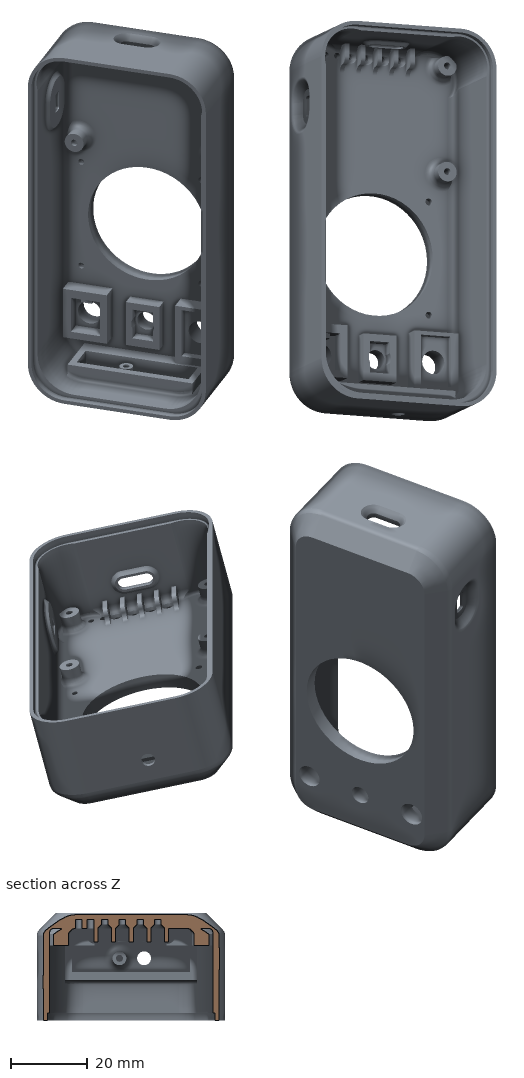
import cadquery as cq
import math

WIDTH, DEPTH, HEIGHT = 49.0, 28.0, 100.0
CORNER_RADIUS = 10.0
BACK_CHAMFER = 5.0
CHAMFER_BLEND = 2.0
WALL = 2.0
FLOOR = 4.0
FLOOR_FILLET = 2.0
LIP_STEP = 1.0
LIP_DEPTH = 2.0
FLOOR_Y = DEPTH - FLOOR
TOP_Z, BOTTOM_Z = HEIGHT / 2, -HEIGHT / 2
RIGHT_X, LEFT_X = WIDTH / 2, -WIDTH / 2

SINK = 0.5
PICK = 0.1

CLEARANCE_INSET = 9.5
CLEARANCE_RADIUS = 7.8
CLEARANCE_FILLET = 0.9

FAN_RADIUS = 16.2
FAN_Z = -6.6
LEFT_PILOT_X, LEFT_PILOT_RADIUS = -18.1, 0.8
RIGHT_PILOT_X, RIGHT_PILOT_RADIUS = 15.1, 0.9
PILOT_PITCH = 30.0
PILOT_DEPTH = 2.0

POST_X = 18.5
POST_TOP_INSET = 6.1
POST_PITCH = 28.0
POST_RADIUS = 2.6
POST_HOLE_RADIUS = 0.9
POST_FLARE = 1.8
POST_HEIGHT = 4.5

HOLDER_HEIGHT = 4.5
HOLDER_BOTTOM = BOTTOM_Z + 9.2
HOLDER_TOP = BOTTOM_Z + 23.2
HOLDER_HOLE_Z = BOTTOM_Z + 15.5
LEFT_POCKET_TOP = BOTTOM_Z + 20.9
LEFT_BLOCK = (-21.6, -9.5, HOLDER_BOTTOM, HOLDER_TOP)
LEFT_POCKET = (-19.4, -11.4, BOTTOM_Z + 11.1, LEFT_POCKET_TOP)
LEFT_HOLE_X, LEFT_HOLE_RADIUS = -15.6, 3.2
LOW_BLOCK = (-4.6, 4.6, HOLDER_BOTTOM, BOTTOM_Z + 21.6)
LOW_POCKET = (-2.8, 2.8, BOTTOM_Z + 11.4, BOTTOM_Z + 19.7)
LOW_HOLE_X, LOW_HOLE_RADIUS = 0.0, 2.5
RIGHT_BLOCK = (9.3, 21.6, BOTTOM_Z + 6.7, HOLDER_TOP)
RIGHT_POCKET = (11.1, 19.5, BOTTOM_Z + 8.9, BOTTOM_Z + 22.2)
RIGHT_HOLE_X, RIGHT_HOLE_RADIUS = 15.4, 3.1
LOW_HOLDER_HEIGHT = 3.5
LOW_HOLDER_BORE_RADIUS = 3.1
DEEP_POCKET_SKIN = 0.5
SHALLOW_POCKET = 2.1
TAB_X, TAB_WIDTH, TAB_LENGTH, TAB_DROP = -15.4, 3.0, 1.3, 1.0

TRAY_LENGTH = 34.4
TRAY_FRONT_Y = 10.5
TRAY_TOP = BOTTOM_Z + 6.1
TRAY_FILLET = 1.0
TROUGH_LENGTH = 30.8
TROUGH_WIDTH = 7.2
TROUGH_Y = 16.2
TROUGH_FLOOR = BOTTOM_Z + 1.0
TROUGH_POST_X = -3.0
TROUGH_POST_RADIUS = 1.8
TROUGH_POST_HOLE_RADIUS = 0.9
TROUGH_POST_FLARE = 2.0
TROUGH_POST_HEIGHT = 4.3
DRAIN_X = 3.4
DRAIN_RADIUS = 1.8

THICKENING = 1.0
TAPER = 45.0
PORT_STRAIGHT = 6.0
PORT_NECK_RADIUS = 1.7
PORT_TAPER_DEPTH = 1.6
PORT_BUMP_RADIUS = 3.4
BUTTON_Y, BUTTON_Z = 14.8, TOP_Z - 20.5
BUTTON_STRAIGHT_Y, BUTTON_STRAIGHT_Z = 1.2, 3.2
BUTTON_FLOOR_RADIUS = 2.9
BUTTON_MOUTH_RADIUS = 5.4
BUTTON_DEPTH = 2.1
BUTTON_RIM_FILLET = 1.1
BUTTON_BUMP_RADIUS = 6.2
BUTTON_SLOT_Y, BUTTON_SLOT_Z, BUTTON_SLOT_RADIUS = 3.0, 5.3, 0.6

RIB_PITCH = 4.6
RIB_COUNT = 5
RIB_WIDTH = 1.2
RIB_LENGTH = 9.0
RIB_CURVE = 1.8
PIT_RADIUS = 0.8
PIT_MOUTH_RADIUS = 1.8
PIT_Z = TOP_Z - 4.7
PIT_SKIN = 1.0
PLAIN_PIT_XS = (-13.7, -10.6)


def box(x0, x1, y0, y1, z0, z1):
    return cq.Workplane("XY").box(x1 - x0, y1 - y0, z1 - z0, centered=False).translate((x0, y0, z0))


def rounded_block(inset, y0, y1, radius):
    """Case outline moved inwards by inset, running from y0 back to y1."""
    block = box(LEFT_X + inset, RIGHT_X - inset, y0, y1, BOTTOM_Z + inset, TOP_Z - inset)
    return block.edges("|Y").fillet(radius)


def y_cylinder(radius, x, z, y0, y1):
    return cq.Workplane("XZ", origin=(x, y0, z)).circle(radius).extrude(y0 - y1)


def z_cylinder(radius, x, y, z0, z1):
    return cq.Workplane("XY", origin=(x, y, z0)).circle(radius).extrude(z1 - z0)


def flared_post(plane, radius, height, flare):
    """Post along the plane's local Y axis, with a concave flare around its foot."""
    return (
        cq.Workplane(plane)
        .moveTo(0, -SINK)
        .lineTo(radius + flare, -SINK)
        .lineTo(radius + flare, 0)
        .radiusArc((radius, flare), flare)
        .lineTo(radius, height)
        .lineTo(0, height)
        .close()
        .revolve(360, (0, 0, 0), (0, 1, 0))
    )


def rounded_prism(plane, straight_u, straight_v, radius, depth, taper=0.0):
    """Rounded rectangle, given by its straight stretches, extruded along the plane normal."""
    outline = cq.Workplane(plane)
    if straight_v == 0:
        outline = outline.slot2D(straight_u + 2 * radius, 2 * radius)
    else:
        rectangle = cq.Sketch().rect(straight_u + 2 * radius, straight_v + 2 * radius)
        outline = outline.placeSketch(rectangle.vertices().fillet(radius))
    return outline.extrude(depth, taper=taper)


def outer_body():
    shoulder_y = DEPTH - BACK_CHAMFER
    shoulder = cq.selectors.BoxSelector(
        (-WIDTH, shoulder_y - PICK, -HEIGHT), (WIDTH, shoulder_y + PICK, HEIGHT))
    body = rounded_block(0, 0, DEPTH, CORNER_RADIUS).faces(">Y").chamfer(BACK_CHAMFER)
    return body.edges(shoulder).fillet(CHAMFER_BLEND)


def cavity():
    return rounded_block(WALL, 0, FLOOR_Y, CORNER_RADIUS).faces(">Y").edges().fillet(FLOOR_FILLET)


def corner_clearance(side):
    x = side * (RIGHT_X - CLEARANCE_INSET)
    bore = y_cylinder(CLEARANCE_RADIUS, x, TOP_Z - CLEARANCE_INSET, 0, FLOOR_Y)
    return bore.faces(">Y").edges().fillet(CLEARANCE_FILLET)


def fill_limit():
    """Cavity grown by SINK: bodies trimmed to it fuse with the shell and stay inside it."""
    block = rounded_block(WALL - SINK, 0, FLOOR_Y + SINK, CORNER_RADIUS)
    return block.faces(">Y").chamfer(FLOOR_FILLET)


def add_tray(shell):
    """Block on the bottom wall, with a fillet along the foot of its front face."""
    end_x = TRAY_LENGTH / 2
    tray = box(-end_x, end_x, TRAY_FRONT_Y, DEPTH, BOTTOM_Z, TRAY_TOP).intersect(fill_limit())
    foot = cq.selectors.BoxSelector(
        (LEFT_X, TRAY_FRONT_Y - PICK, BOTTOM_Z), (RIGHT_X, TRAY_FRONT_Y + PICK, BOTTOM_Z + 2 * WALL))
    return shell.union(tray).edges(foot).fillet(TRAY_FILLET)


def add_trough(shell):
    y0, y1 = TROUGH_Y - TROUGH_WIDTH / 2, TROUGH_Y + TROUGH_WIDTH / 2
    trough = box(-TROUGH_LENGTH / 2, TROUGH_LENGTH / 2, y0, y1, TROUGH_FLOOR, TRAY_TOP)
    post = flared_post("XZ", TROUGH_POST_RADIUS, TROUGH_POST_HEIGHT, TROUGH_POST_FLARE)
    post = post.translate((TROUGH_POST_X, TROUGH_Y, TROUGH_FLOOR))
    post = post.intersect(box(LEFT_X, RIGHT_X, y0, y1, BOTTOM_Z, TRAY_TOP))
    post_top = TROUGH_FLOOR + TROUGH_POST_HEIGHT
    bore = z_cylinder(TROUGH_POST_HOLE_RADIUS, TROUGH_POST_X, TROUGH_Y, TROUGH_FLOOR, post_top)
    drain = z_cylinder(DRAIN_RADIUS, DRAIN_X, TROUGH_Y, BOTTOM_Z, TRAY_TOP)
    return shell.cut(trough).union(post).cut(bore).cut(drain)


def add_screw_posts(shell):
    plane = cq.Plane((0, 0, 0), xDir=(1, 0, 0), normal=(0, 0, -1))
    post = flared_post(plane, POST_RADIUS, POST_HEIGHT, POST_FLARE)
    upper_z = TOP_Z - POST_TOP_INSET
    for x in (-POST_X, POST_X):
        for z in (upper_z, upper_z - POST_PITCH):
            bore = y_cylinder(POST_HOLE_RADIUS, x, z, FLOOR_Y - POST_HEIGHT, FLOOR_Y)
            shell = shell.union(post.translate((x, FLOOR_Y, z)).intersect(fill_limit())).cut(bore)
    return shell


def cut_fan(shell):
    shell = shell.cut(y_cylinder(FAN_RADIUS, 0, FAN_Z, 0, DEPTH))
    pilots = ((LEFT_PILOT_X, LEFT_PILOT_RADIUS), (RIGHT_PILOT_X, RIGHT_PILOT_RADIUS))
    for x, radius in pilots:
        for z in (FAN_Z - PILOT_PITCH / 2, FAN_Z + PILOT_PITCH / 2):
            shell = shell.cut(y_cylinder(radius, x, z, FLOOR_Y, FLOOR_Y + PILOT_DEPTH))
    return shell


def add_holder(shell, block, pocket, height, pocket_end_y, hole_x, hole_radius):
    """Block on the floor with a pocket and a through hole."""
    front_y = FLOOR_Y - height
    x0, x1, z0, z1 = block
    body = box(x0, x1, front_y, FLOOR_Y + SINK, z0, z1).intersect(fill_limit())
    x0, x1, z0, z1 = pocket
    recess = box(x0, x1, front_y, pocket_end_y, z0, z1)
    hole = y_cylinder(hole_radius, hole_x, HOLDER_HOLE_Z, front_y, DEPTH)
    return shell.union(body).cut(recess).cut(hole)


def add_holders(shell):
    front_y = FLOOR_Y - HOLDER_HEIGHT
    deep_y = FLOOR_Y - DEEP_POCKET_SKIN

    shell = add_holder(shell, LEFT_BLOCK, LEFT_POCKET, HOLDER_HEIGHT, deep_y,
                       LEFT_HOLE_X, LEFT_HOLE_RADIUS)
    tab = box(TAB_X - TAB_WIDTH / 2, TAB_X + TAB_WIDTH / 2, front_y + TAB_DROP, FLOOR_Y,
              LEFT_POCKET_TOP - TAB_LENGTH, LEFT_POCKET_TOP + SINK)
    shell = shell.union(tab)

    shell = add_holder(shell, LOW_BLOCK, LOW_POCKET, LOW_HOLDER_HEIGHT, deep_y,
                       LOW_HOLE_X, LOW_HOLE_RADIUS)
    low_front_y = FLOOR_Y - LOW_HOLDER_HEIGHT
    shell = shell.cut(y_cylinder(LOW_HOLDER_BORE_RADIUS, LOW_HOLE_X, HOLDER_HOLE_Z, low_front_y, deep_y))

    return add_holder(shell, RIGHT_BLOCK, RIGHT_POCKET, HOLDER_HEIGHT, front_y + SHALLOW_POCKET,
                      RIGHT_HOLE_X, RIGHT_HOLE_RADIUS)


def rib():
    """Rib hanging from the top wall; its lower end runs out to the floor in an S-curve."""
    face_y = FLOOR_Y - 2 * RIB_CURVE
    root_z, tip_z = TOP_Z - WALL + SINK, TOP_Z - RIB_LENGTH
    return (
        cq.Workplane("YZ")
        .moveTo(FLOOR_Y - FLOOR_FILLET, root_z)
        .lineTo(face_y, root_z)
        .lineTo(face_y, tip_z + 2 * RIB_CURVE)
        .radiusArc((face_y + RIB_CURVE, tip_z + RIB_CURVE), -RIB_CURVE)
        .radiusArc((FLOOR_Y, tip_z), RIB_CURVE)
        .lineTo(FLOOR_Y + SINK, tip_z)
        .lineTo(FLOOR_Y + SINK, TOP_Z - FLOOR)
        .close()
        .extrude(RIB_WIDTH / 2, both=True)
    )


def add_ribs_and_pits(shell):
    rib_xs = [RIB_PITCH * (i - (RIB_COUNT - 1) / 2) for i in range(RIB_COUNT)]
    gap_xs = [x + RIB_PITCH / 2 for x in rib_xs[:-1]]

    skin_chamfer = BACK_CHAMFER - (2 - math.sqrt(2)) * PIT_SKIN
    limit = rounded_block(PIT_SKIN, 0, DEPTH - PIT_SKIN, CORNER_RADIUS - PIT_SKIN)
    limit = limit.faces(">Y").chamfer(skin_chamfer)
    for x in (*PLAIN_PIT_XS, *gap_xs):
        pit = y_cylinder(PIT_RADIUS, x, PIT_Z, FLOOR_Y - FLOOR_FILLET, DEPTH)
        shell = shell.cut(pit.intersect(limit))
    for x in gap_xs:
        mouth = cq.Solid.makeCone(PIT_MOUTH_RADIUS, PIT_RADIUS, PIT_MOUTH_RADIUS - PIT_RADIUS,
                                  cq.Vector(x, FLOOR_Y, PIT_Z), cq.Vector(0, 1, 0))
        shell = shell.cut(cq.Workplane(mouth))
    for x in rib_xs:
        shell = shell.union(rib().translate((x, 0, 0)))
    return shell


def add_port(shell):
    """Stadium opening in the top wall, widened outwards by a taper."""
    outside = cq.Plane((0, TROUGH_Y, TOP_Z), xDir=(1, 0, 0), normal=(0, 0, -1))
    embedded = cq.Plane((0, TROUGH_Y, TOP_Z - WALL + SINK), xDir=(1, 0, 0), normal=(0, 0, -1))
    bump = rounded_prism(embedded, PORT_STRAIGHT, 0, PORT_BUMP_RADIUS + SINK, THICKENING + SINK, TAPER)
    mouth = rounded_prism(outside, PORT_STRAIGHT, 0, PORT_NECK_RADIUS + PORT_TAPER_DEPTH,
                          PORT_TAPER_DEPTH, TAPER)
    neck = rounded_prism(outside, PORT_STRAIGHT, 0, PORT_NECK_RADIUS, WALL + THICKENING)
    return shell.union(bump).cut(mouth).cut(neck)


def add_button(shell):
    """Dished recess in the left wall with a slot through its floor."""
    straights = (BUTTON_STRAIGHT_Y, BUTTON_STRAIGHT_Z)
    outside = cq.Plane((LEFT_X, BUTTON_Y, BUTTON_Z), xDir=(0, 1, 0), normal=(1, 0, 0))
    embedded = cq.Plane((LEFT_X + WALL - SINK, BUTTON_Y, BUTTON_Z), xDir=(0, 1, 0), normal=(1, 0, 0))
    bump = rounded_prism(embedded, *straights, BUTTON_BUMP_RADIUS + SINK, THICKENING + SINK, TAPER)
    dish_taper = math.degrees(math.atan2(BUTTON_MOUTH_RADIUS - BUTTON_FLOOR_RADIUS, BUTTON_DEPTH))
    dish = rounded_prism(outside, *straights, BUTTON_MOUTH_RADIUS, BUTTON_DEPTH, dish_taper)
    slot = rounded_prism(outside, BUTTON_SLOT_Y - 2 * BUTTON_SLOT_RADIUS,
                         BUTTON_SLOT_Z - 2 * BUTTON_SLOT_RADIUS, BUTTON_SLOT_RADIUS, WALL + THICKENING)
    reach_y = BUTTON_STRAIGHT_Y / 2 + BUTTON_MOUTH_RADIUS + PICK
    reach_z = BUTTON_STRAIGHT_Z / 2 + BUTTON_MOUTH_RADIUS + PICK
    rim = cq.selectors.BoxSelector((LEFT_X - PICK, BUTTON_Y - reach_y, BUTTON_Z - reach_z),
                                   (LEFT_X + PICK, BUTTON_Y + reach_y, BUTTON_Z + reach_z))
    return shell.union(bump).cut(dish).edges(rim).fillet(BUTTON_RIM_FILLET).cut(slot)


lip = rounded_block(LIP_STEP, 0, LIP_DEPTH, CORNER_RADIUS - LIP_STEP)
result = outer_body().cut(cavity()).cut(lip)
result = add_tray(result)
result = add_trough(result)
for side in (-1, 1):
    result = result.cut(corner_clearance(side))
result = add_screw_posts(result)
result = cut_fan(result)
result = add_holders(result)
result = add_ribs_and_pits(result)
result = add_port(result)
result = add_button(result)